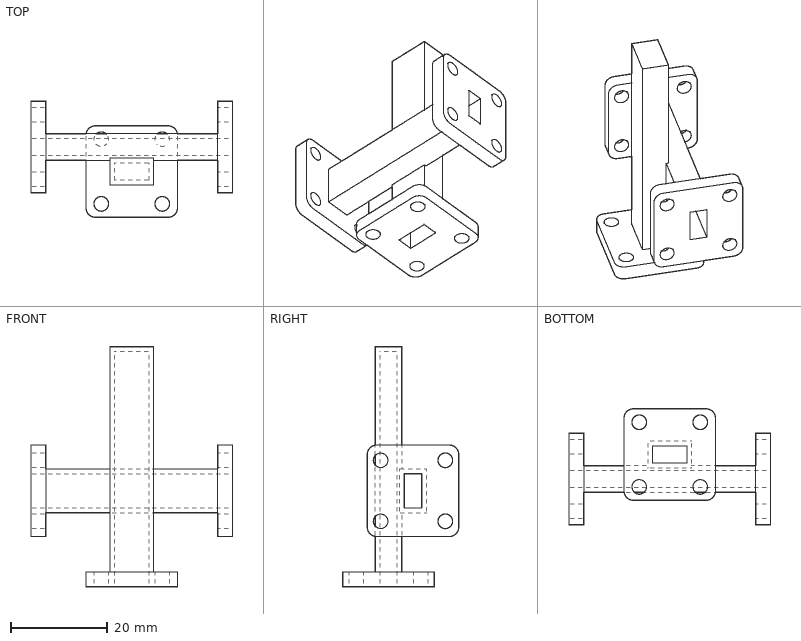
import cadquery as cq

main_length = 42.0
branch_height = 50.0
total_depth = 24.2

tube_wide = 9.15
tube_narrow = 5.6
bore_wide = 7.1
bore_narrow = 3.55
cap_thickness = 1.0

flange_side = 19.1
flange_thickness = 3.1
flange_corner_radius = 2.0
bolt_diameter = 3.0
bolt_pitch_wide = 12.7
bolt_pitch_narrow = 13.45

main_offset_y = total_depth - flange_side
main_center_z = 20.0


def flange(base_plane):
    """Flange growing from the plane, wide waveguide side along the plane's local x."""
    plate = (
        cq.Workplane(base_plane)
        .rect(flange_side, flange_side)
        .extrude(flange_thickness)
        .edges(cq.selectors.ParallelDirSelector(base_plane.zDir))
        .fillet(flange_corner_radius)
    )
    bolt_holes = (
        cq.Workplane(base_plane)
        .rect(bolt_pitch_wide, bolt_pitch_narrow, forConstruction=True)
        .vertices()
        .circle(bolt_diameter / 2)
        .extrude(flange_thickness)
    )
    return plate.cut(bolt_holes)


def bar(base_plane, wide, narrow, length):
    """Rectangular bar growing from the plane, wide side along the plane's local x."""
    return cq.Workplane(base_plane).rect(wide, narrow).extrude(length)


branch_plane = cq.Plane(origin=(0, 0, 0), xDir=(1, 0, 0), normal=(0, 0, 1))
main_plane = cq.Plane(
    origin=(-main_length / 2, main_offset_y, main_center_z), xDir=(0, 0, 1), normal=(1, 0, 0)
)
main_end_plane = cq.Plane(
    origin=(main_length / 2 - flange_thickness, main_offset_y, main_center_z),
    xDir=(0, 0, 1),
    normal=(1, 0, 0),
)

result = bar(branch_plane, tube_wide, tube_narrow, branch_height)
result = result.union(bar(main_plane, tube_wide, tube_narrow, main_length))
for plane in (branch_plane, main_plane, main_end_plane):
    result = result.union(flange(plane))

result = result.cut(bar(main_plane, bore_wide, bore_narrow, main_length))
result = result.cut(bar(branch_plane, bore_wide, bore_narrow, branch_height - cap_thickness))